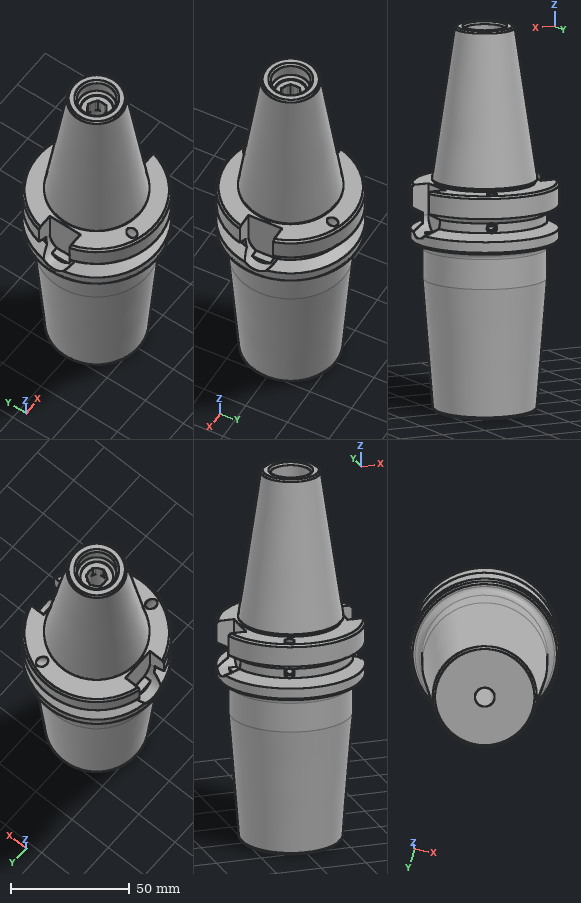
import cadquery as cq
import math


total_height = 165.4
straight_body_start = 57.0
flange_bottom = 73.0
flange_thickness = 25.1
flange_top = flange_bottom + flange_thickness
neck_height = 0.5
relief_height = 1.0
taper_start = flange_top + neck_height + relief_height

flange_radius = 63.0 / 2
body_radius = 26.5
nose_radius = 22.0
taper_large_radius = 22.3
taper_small_radius = 12.7
neck_radius = taper_large_radius - relief_height

edge_chamfer = 1.0
taper_tip_chamfer = 0.8
body_fillet = 3.0

groove_radius = body_radius
groove_floor_bottom = 81.4
groove_floor_width = 4.1
groove_floor_top = groove_floor_bottom + groove_floor_width
flank_height = (flange_radius - groove_radius) * math.tan(math.radians(30))

slot_width = 16.0
slot_depth = 21.5
slot_floor_distance = 22.7
slot_pad_height = 77.9

bore_radius = 8.5
bore_mouth_chamfer = 1.0
bore_straight_depth = 6.5
bore_floor_radius = 7.0
bore_cone_depth = 1.0
bore_depth = 8.1
hex_across_flats = 8.0
hex_depth = 6.6
through_hole_diameter = 8.3

coolant_angles = (70, 250)
coolant_circle_radius = 26.6
coolant_hole_diameter = 4.3
coolant_tilt = math.radians(38)
cross_hole_diameter = 3.0
cross_seat_diameter = 4.3
cross_seat_depth = 3.3


def turned_body():
    fillet_centre_x = body_radius + body_fillet
    fillet_centre_z = flange_bottom - body_fillet
    fillet_mid = (
        fillet_centre_x - body_fillet * math.cos(math.radians(45)),
        fillet_centre_z + body_fillet * math.sin(math.radians(45)),
    )
    return (
        cq.Workplane("XZ")
        .lineTo(nose_radius - edge_chamfer, 0)
        .lineTo(nose_radius, edge_chamfer)
        .lineTo(body_radius, straight_body_start)
        .lineTo(body_radius, fillet_centre_z)
        .threePointArc(fillet_mid, (fillet_centre_x, flange_bottom))
        .lineTo(flange_radius - edge_chamfer, flange_bottom)
        .lineTo(flange_radius, flange_bottom + edge_chamfer)
        .lineTo(flange_radius, groove_floor_bottom - flank_height)
        .lineTo(groove_radius, groove_floor_bottom)
        .lineTo(groove_radius, groove_floor_top)
        .lineTo(flange_radius, groove_floor_top + flank_height)
        .lineTo(flange_radius, flange_top - edge_chamfer)
        .lineTo(flange_radius - edge_chamfer, flange_top)
        .lineTo(neck_radius, flange_top)
        .lineTo(neck_radius, flange_top + neck_height)
        .lineTo(taper_large_radius, taper_start)
        .lineTo(taper_small_radius, total_height - taper_tip_chamfer)
        .lineTo(taper_small_radius - taper_tip_chamfer, total_height)
        .lineTo(0, total_height)
        .close()
        .revolve(360, (0, 0, 0), (0, 1, 0))
    )


def drive_slot(side):
    """Round-ended slot on the X side given by side, leaving a flat pad inside the body radius."""
    half_width = slot_width / 2
    slot_bottom = flange_top - slot_depth
    arc_centre = slot_bottom + half_width
    slot = (
        cq.Workplane("YZ")
        .moveTo(-half_width, flange_top)
        .lineTo(-half_width, arc_centre)
        .threePointArc((0, slot_bottom), (half_width, arc_centre))
        .lineTo(half_width, flange_top)
        .close()
        .extrude(side * flange_radius)
    )
    core = cq.Workplane("XY").circle(body_radius).extrude(slot_pad_height)
    inner_block = cq.Workplane("XY").box(
        2 * slot_floor_distance, slot_width, flange_top, centered=(True, True, False)
    )
    return slot.cut(core).cut(inner_block)


def axial_bore():
    mouth_radius = bore_radius + bore_mouth_chamfer
    socket = (
        cq.Workplane("XZ")
        .moveTo(0, total_height)
        .lineTo(mouth_radius, total_height)
        .lineTo(bore_radius, total_height - bore_mouth_chamfer)
        .lineTo(bore_radius, total_height - bore_straight_depth)
        .lineTo(bore_floor_radius, total_height - bore_straight_depth - bore_cone_depth)
        .lineTo(bore_floor_radius, total_height - bore_depth)
        .lineTo(0, total_height - bore_depth)
        .close()
        .revolve(360, (0, 0, 0), (0, 1, 0))
    )
    corner_diameter = hex_across_flats / math.cos(math.radians(30))
    hexagon = (
        cq.Workplane("XY")
        .workplane(offset=total_height - bore_depth)
        .transformed(rotate=(0, 0, 90))
        .polygon(6, corner_diameter)
        .extrude(-hex_depth)
    )
    through_hole = cq.Workplane("XY").circle(through_hole_diameter / 2).extrude(total_height)
    return socket.union(hexagon).union(through_hole)


def radial_hole(diameter, inner_radius, height):
    """Cylinder along X from inner_radius out to the groove floor."""
    return (
        cq.Workplane("YZ")
        .workplane(offset=inner_radius)
        .center(0, height)
        .circle(diameter / 2)
        .extrude(groove_radius - inner_radius)
    )


def coolant_hole(angle):
    """Hole leaning inward from the flange face, meeting a stepped radial hole from the groove."""
    cross_height = groove_floor_bottom + groove_floor_width / 2
    drop = flange_top - cross_height
    meeting_radius = coolant_circle_radius - drop * math.tan(coolant_tilt)
    direction = cq.Vector(math.sin(coolant_tilt), 0, math.cos(coolant_tilt))
    overrun = coolant_hole_diameter
    inclined_hole = cq.Workplane(
        cq.Solid.makeCylinder(
            coolant_hole_diameter / 2,
            drop / math.cos(coolant_tilt) + overrun,
            cq.Vector(meeting_radius, 0, cross_height),
            direction,
        )
    )
    cross_hole = radial_hole(cross_hole_diameter, meeting_radius, cross_height)
    cross_seat = radial_hole(cross_seat_diameter, groove_radius - cross_seat_depth, cross_height)
    holes = inclined_hole.union(cross_hole).union(cross_seat)
    return holes.rotate((0, 0, 0), (0, 0, 1), angle)


result = turned_body().cut(axial_bore())
for slot_side in (-1, 1):
    result = result.cut(drive_slot(slot_side))
for coolant_angle in coolant_angles:
    result = result.cut(coolant_hole(coolant_angle))